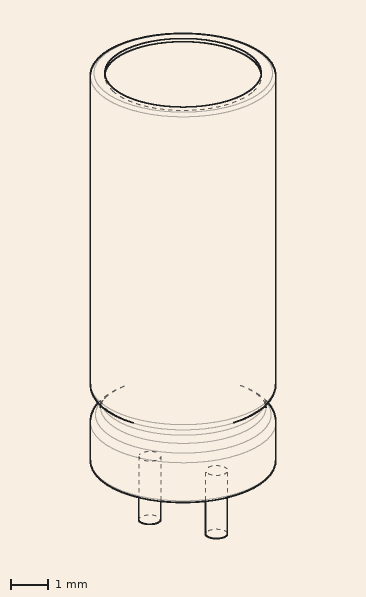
import cadquery as cq
import math

total_height = 13.6
can_radius = 2.5
can_bottom = 1.9
rim_fillet = 0.1

recess_radius = 2.11
recess_depth = 0.1

groove_center = 3.71
groove_depth = 0.27
groove_floor_half = 0.12
groove_half = 0.57

lead_diameter = 0.6
lead_spacing = 2.0


def make_can():
    """Revolve the can with its crimp groove, then round both rims."""
    floor_radius = can_radius - groove_depth
    side_height = groove_half - groove_floor_half
    arc_angle = 2 * math.atan(groove_depth / side_height)
    arc_radius = side_height / (2 * math.sin(arc_angle))
    bulge = arc_radius * (1 - math.cos(arc_angle / 2))
    reach = arc_radius * math.sin(arc_angle / 2)
    joint_radius = can_radius - groove_depth / 2
    joint_height = groove_half - side_height / 2

    profile = (
        cq.Workplane("XZ")
        .moveTo(0, can_bottom)
        .lineTo(can_radius, can_bottom)
        .lineTo(can_radius, groove_center - groove_half)
        .threePointArc(
            (can_radius - bulge, groove_center - groove_half + reach),
            (joint_radius, groove_center - joint_height),
        )
        .threePointArc(
            (floor_radius + bulge, groove_center - groove_floor_half - reach),
            (floor_radius, groove_center - groove_floor_half),
        )
        .lineTo(floor_radius, groove_center + groove_floor_half)
        .threePointArc(
            (floor_radius + bulge, groove_center + groove_floor_half + reach),
            (joint_radius, groove_center + joint_height),
        )
        .threePointArc(
            (can_radius - bulge, groove_center + groove_half - reach),
            (can_radius, groove_center + groove_half),
        )
        .lineTo(can_radius, total_height)
        .lineTo(0, total_height)
        .close()
    )
    can = profile.revolve(360, (0, 0, 0), (0, 1, 0))
    return can.faces("<Z or >Z").edges().fillet(rim_fillet)


def make_recess():
    """Disc removed from the top face."""
    return (
        cq.Workplane("XY")
        .workplane(offset=total_height - recess_depth)
        .circle(recess_radius)
        .extrude(recess_depth)
    )


def make_leads():
    """Two round leads along X, ending at the bottom of the can."""
    return (
        cq.Workplane("XY")
        .pushPoints([(-lead_spacing / 2, 0), (lead_spacing / 2, 0)])
        .circle(lead_diameter / 2)
        .extrude(can_bottom)
    )


result = make_can().cut(make_recess()).union(make_leads())